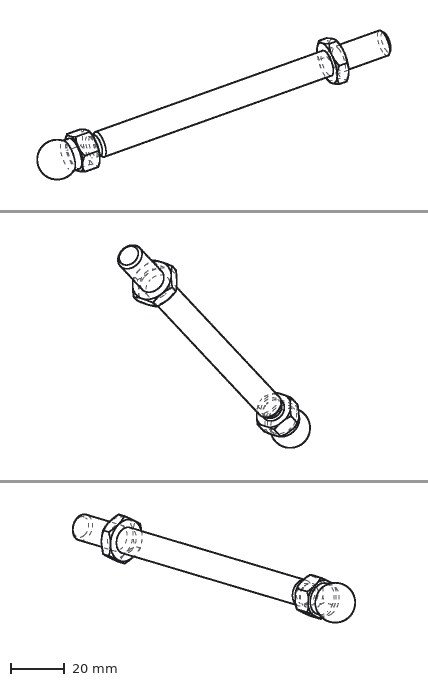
import cadquery as cq
import math

total_length = 147.0

ball_radius = 7.5
collar_radius = 6.0

stud_hex_flats = 14.0
stud_hex_start = 14.7
stud_hex_length = 7.2
stud_hex_end = stud_hex_start + stud_hex_length
stud_hex_chamfer = 0.7
stud_chamfer_angle = 40.0

rod_radius = 5.0
neck_radius = 4.0
neck_length = 2.6
neck_flare_radius = 4.5
neck_flare_length = 1.0
rod_start = stud_hex_end + neck_length + rod_radius - neck_radius
rod_chamfer = 1.0

nut_flats = 16.0
nut_thickness = 5.0
nut_end_distance = 20.0
nut_start = total_length - nut_end_distance - nut_thickness
nut_chamfer = 0.9
nut_chamfer_angle = 35.0


def revolve_about_y(profile):
    """Revolve a closed outline, drawn as (radius, Y), about the Y axis."""
    return profile.close().revolve(360, (0, 0, 0), (0, 1, 0))


def chamfered_hexagon(start, length, flats, chamfer, angle):
    """Hexagonal prism along Y, corners up and down, with conical chamfers at both ends."""
    corner_radius = flats / math.sqrt(3)
    end_radius = corner_radius - chamfer / math.tan(math.radians(angle))
    end = start + length
    prism = (
        cq.Workplane("XZ", origin=(0, start, 0))
        .polygon(6, 2 * corner_radius)
        .extrude(-length)
        .rotate((0, 0, 0), (0, 1, 0), 30)
    )
    envelope = revolve_about_y(
        cq.Workplane("XY")
        .moveTo(0, start)
        .lineTo(end_radius, start)
        .lineTo(corner_radius, start + chamfer)
        .lineTo(corner_radius, end - chamfer)
        .lineTo(end_radius, end)
        .lineTo(0, end)
    )
    return prism.intersect(envelope)


def make_ball_stud():
    """Ball, collar, hexagon, neck and rod in one solid."""
    ball_collar_y = ball_radius + math.sqrt(ball_radius**2 - collar_radius**2)
    turned = revolve_about_y(
        cq.Workplane("XY")
        .moveTo(0, 0)
        .threePointArc((ball_radius, ball_radius), (collar_radius, ball_collar_y))
        .lineTo(collar_radius, stud_hex_end)
        .lineTo(neck_flare_radius, stud_hex_end)
        .lineTo(neck_radius, stud_hex_end + neck_flare_length)
        .lineTo(neck_radius, stud_hex_end + neck_length)
        .lineTo(rod_radius, rod_start)
        .lineTo(rod_radius, total_length - rod_chamfer)
        .lineTo(rod_radius - rod_chamfer, total_length)
        .lineTo(0, total_length)
    )
    hexagon = chamfered_hexagon(
        stud_hex_start, stud_hex_length, stud_hex_flats, stud_hex_chamfer, stud_chamfer_angle
    )
    return turned.union(hexagon)


def make_lock_nut():
    """Chamfered hexagon nut with a plain bore that fits the rod."""
    blank = chamfered_hexagon(nut_start, nut_thickness, nut_flats, nut_chamfer, nut_chamfer_angle)
    bore = cq.Workplane("XZ", origin=(0, nut_start, 0)).circle(rod_radius).extrude(-nut_thickness)
    return blank.cut(bore)


ball_stud = make_ball_stud()
lock_nut = make_lock_nut()

result = cq.Compound.makeCompound([ball_stud.val(), lock_nut.val()])